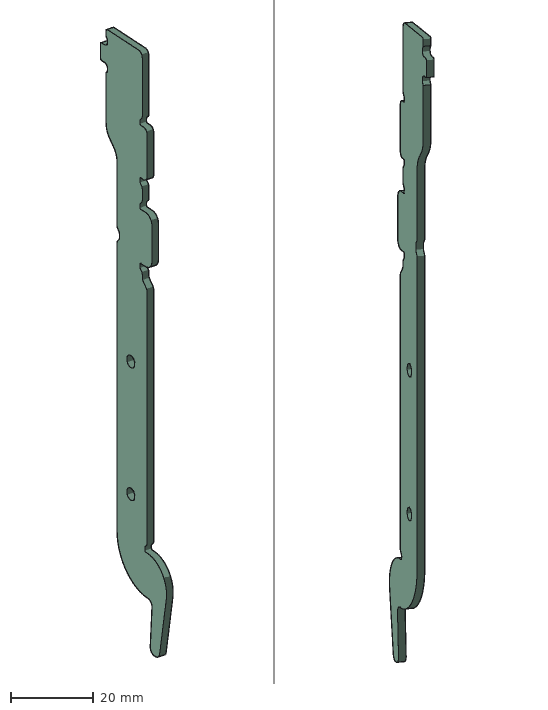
import cadquery as cq
import math


thickness = 2.0
overall_width = 27.86
overall_height = 163.97

head_left = 2.4
head_right = 17.65
strap_left = 7.0
strap_right = 19.7
block_right = 21.7

tab_bottom = 154.4
tab_top = 159.3
taper_top = 135.9
shoulder_top = 143.65
shoulder_bottom = 129.15
block_top = 120.5
block_bottom = 105.6
neck_bottom = 101.5
notch_height = 109.35

edge_radius = 1.5
small_radius = 0.55
taper_radius = 5.0
block_radius = 2.5

relief_depth = 1.0
relief_length = 2.3
relief_corner_radius = 0.4
relief_flank_radius = 1.0
tab_relief_depth = 0.6
tab_relief_length = 2.5
tab_relief_radius = 1.2
notch_depth = 1.0
notch_floor_length = 1.9

hook_top = 27.0
hook_bottom = 14.65
heel_radius = 13.0
hook_radius = 8.0
hook_back_angle = math.radians(9.8)
finger_root_x = 21.8
finger_tip_x = 20.85
finger_root_radius = 1.6
finger_tip_radius = 1.7

hole_diameter = 3.3
hole_x = 12.8
lower_hole_height = 40.3
hole_spacing = 36.5


def relief_above(edge_x, ledge_z):
    """Corners, going down, of a relief into a right-hand edge just above a ledge."""
    floor_x = edge_x - relief_depth
    return [
        (edge_x, ledge_z + relief_length, relief_flank_radius),
        (floor_x, ledge_z + relief_length - relief_depth, relief_flank_radius),
        (floor_x, ledge_z, relief_corner_radius),
    ]


def relief_below(edge_x, ledge_z):
    """Corners, going down, of a relief into a right-hand edge just below a ledge."""
    mirrored = relief_above(edge_x, 0)
    return [(x, ledge_z - z, radius) for x, z, radius in reversed(mirrored)]


def head_corners():
    return [
        (head_left, overall_height, small_radius),
        (head_right, overall_height, edge_radius),
    ]


def right_edge_corners():
    neck_step = strap_right - head_right
    return [
        *relief_above(head_right, shoulder_top),
        (strap_right, shoulder_top, edge_radius),
        (strap_right, shoulder_bottom, edge_radius),
        *relief_below(head_right, shoulder_bottom),
        *relief_above(head_right, block_top),
        (block_right, block_top, block_radius),
        (block_right, block_bottom, block_radius),
        *relief_below(head_right, block_bottom),
        (head_right, neck_bottom, edge_radius),
        (strap_right, neck_bottom - neck_step, edge_radius),
        *relief_above(strap_right, hook_top),
    ]


def hook_corners():
    center_x = overall_width - hook_radius
    center_z = hook_top - hook_radius
    sine = math.sin(hook_back_angle)
    cosine = math.cos(hook_back_angle)
    back_top_x = center_x + hook_radius * (1 + sine) / cosine
    back_bottom_x = center_x + (hook_radius - center_z * sine) / cosine
    return [
        (back_top_x, hook_top, hook_radius),
        (back_bottom_x, 0, finger_tip_radius),
        (finger_tip_x, 0, finger_tip_radius),
        (finger_root_x, hook_bottom, finger_root_radius),
        (strap_left, hook_bottom, heel_radius),
    ]


def left_edge_corners():
    notch_floor_x = strap_left + notch_depth
    half_floor = notch_floor_length / 2
    half_mouth = half_floor + notch_depth
    taper_bottom = taper_top - (strap_left - head_left)
    return [
        (strap_left, notch_height - half_mouth, relief_flank_radius),
        (notch_floor_x, notch_height - half_floor, relief_flank_radius),
        (notch_floor_x, notch_height + half_floor, relief_flank_radius),
        (strap_left, notch_height + half_mouth, relief_flank_radius),
        (strap_left, taper_bottom, taper_radius),
        (head_left, taper_top, taper_radius),
    ]


def tab_corners():
    floor_x = head_left + tab_relief_depth
    flank_start = tab_relief_length - tab_relief_depth
    return [
        (head_left, tab_bottom - tab_relief_length, 0),
        (floor_x, tab_bottom - flank_start, tab_relief_radius),
        (floor_x, tab_bottom, tab_relief_radius),
        (0, tab_bottom, small_radius),
        (0, tab_top, small_radius),
        (floor_x, tab_top, tab_relief_radius),
        (floor_x, tab_top + flank_start, tab_relief_radius),
        (head_left, tab_top + tab_relief_length, 0),
    ]


def corner_arc(before, corner, after, radius):
    """Start, middle and end of the arc that rounds a corner."""
    to_before = (before - corner).normalized()
    to_after = (after - corner).normalized()
    half_angle = to_before.getAngle(to_after) / 2
    tangent_length = radius / math.tan(half_angle)
    middle_distance = radius / math.sin(half_angle) - radius
    start = corner + to_before * tangent_length
    middle = corner + (to_before + to_after).normalized() * middle_distance
    end = corner + to_after * tangent_length
    return start, middle, end


def rounded_outline(corners):
    """Closed XZ outline through (x, z, radius) corners; radius 0 stays sharp."""
    points = [cq.Vector(x, z) for x, z, _ in corners]
    outline = None
    for index, (_, _, radius) in enumerate(corners):
        point = points[index]
        following = points[(index + 1) % len(points)]
        start, middle, end = corner_arc(points[index - 1], point, following, radius)
        if outline is None:
            outline = cq.Workplane("XZ").moveTo(start.x, start.y)
        else:
            outline = outline.lineTo(start.x, start.y)
        if radius > 0:
            outline = outline.threePointArc((middle.x, middle.y), (end.x, end.y))
    return outline.close()


def lever_plate():
    corners = (
        head_corners()
        + right_edge_corners()
        + hook_corners()
        + left_edge_corners()
        + tab_corners()
    )
    return rounded_outline(corners).extrude(thickness)


def pivot_holes():
    upper_hole_height = lower_hole_height + hole_spacing
    centers = [(hole_x, lower_hole_height), (hole_x, upper_hole_height)]
    return cq.Workplane("XZ").pushPoints(centers).circle(hole_diameter / 2).extrude(thickness)


result = lever_plate().cut(pivot_holes())